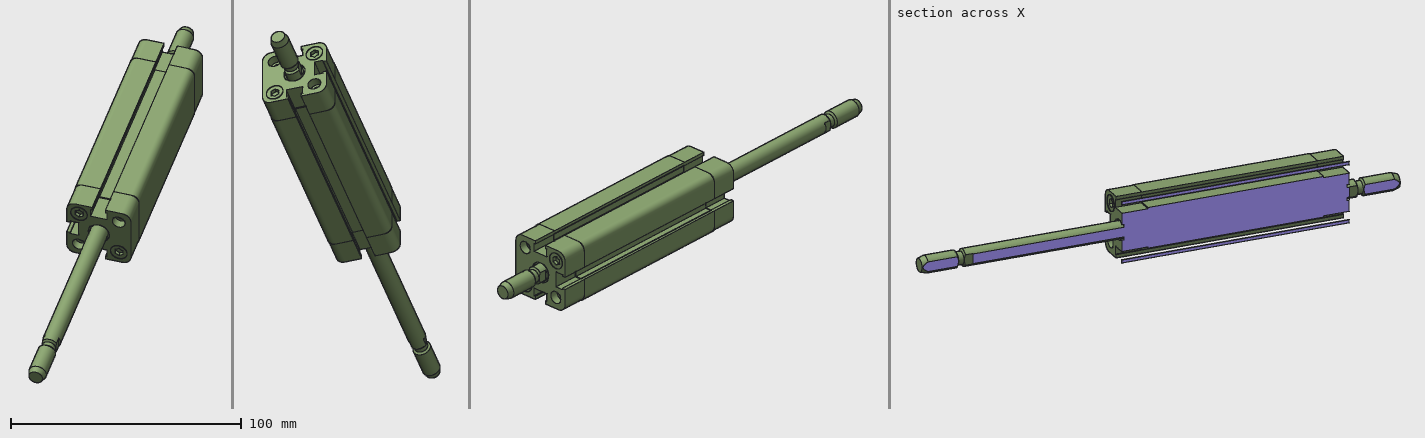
import cadquery as cq


cap_width = 29.05
tube_width = 29.0
body_length = 108.0
cap_length = 12.3
cap_corner_radius = 4.0
tube_corner_radius = 3.3

slot_mouth_width = 6.0
slot_lip_depth = 1.6
cap_slot_width = 7.4
cap_slot_depth = 5.4
tube_slot_width = 6.7
tube_slot_depth = 4.8
slot_angles = (-90, 0, 90)

corner_offset = 9.0
through_hole_diameter = 3.24
counterbore_diameter = 5.8
counterbore_depth = 4.0
screw_head_diameter = 7.5
screw_head_recess = 0.3
screw_socket_corner_diameter = 4.13
screw_socket_depth = 2.0
corner_up_turn = 30

part_length = 227.0
rod_diameter = 8.0
rear_extension = 24.2
front_extension = part_length - body_length - rear_extension
bearing_recess_diameter = 9.6
bearing_recess_depth = 1.0

tip_diameter = 6.2
tip_cone_length = 2.8
thread_end = 17.5
thread_runout = 0.7
neck_diameter = 6.0
neck_end = 20.0
neck_edge_chamfer = 0.6
flats_length = 3.5
flats_width = 6.3


def prism(width, corner_radius, y_start, length):
    """Square bar along Y with rounded corners."""
    bar = cq.Workplane("XY").box(width, length, width).edges("|Y").fillet(corner_radius)
    return bar.translate((0, y_start + length / 2, 0))


def cylinder(diameter, x, z, y_start, length):
    """Round bar along Y."""
    axis_start = cq.Vector(x, y_start, z)
    return cq.Workplane(cq.Solid.makeCylinder(diameter / 2, length, axis_start, cq.Vector(0, 1, 0)))


def slot(mouth_face, width, depth, y_start, length):
    """Slot entering at X = mouth_face: a mouth of fixed width, then the given width behind the lip."""
    y_middle = y_start + length / 2
    mouth = cq.Workplane("XY").box(depth, length, slot_mouth_width)
    inner_depth = depth - slot_lip_depth
    inner = cq.Workplane("XY").box(inner_depth, length, width)
    mouth = mouth.translate((mouth_face + depth / 2, y_middle, 0))
    return mouth.union(inner.translate((mouth_face + slot_lip_depth + inner_depth / 2, y_middle, 0)))


def slotted_section(width, corner_radius, slot_width, slot_depth, y_start, length):
    """Length of the body with a slot in each of three sides."""
    section = prism(width, corner_radius, y_start, length)
    cutter = slot(-width / 2, slot_width, slot_depth, y_start, length)
    for angle in slot_angles:
        section = section.cut(cutter.rotate((0, 0, 0), (0, 1, 0), angle))
    return section


def end_recess(diameter, x, z, depth):
    """Matching round recesses in both end faces."""
    front = cylinder(diameter, x, z, 0, depth)
    return front.union(cylinder(diameter, x, z, body_length - depth, depth))


def hex_sockets(x, z):
    """Matching hexagon sockets in both end faces, with a corner pointing up."""
    hexagon = cq.Workplane("XZ").polygon(6, screw_socket_corner_diameter).extrude(-screw_socket_depth)
    hexagon = hexagon.rotate((0, 0, 0), (0, 1, 0), corner_up_turn)
    front = hexagon.translate((x, 0, z))
    return front.union(hexagon.translate((x, body_length - screw_socket_depth, z)))


def make_body():
    tube_length = body_length - 2 * cap_length
    tube_shape = (tube_width, tube_corner_radius, tube_slot_width, tube_slot_depth)
    cap_shape = (cap_width, cap_corner_radius, cap_slot_width, cap_slot_depth)
    body = slotted_section(*tube_shape, cap_length, tube_length)
    for y_start in (0, body_length - cap_length):
        body = body.union(slotted_section(*cap_shape, y_start, cap_length))
    for side in (-1, 1):
        offset = side * corner_offset
        body = body.cut(cylinder(through_hole_diameter, offset, offset, 0, body_length))
        body = body.cut(end_recess(counterbore_diameter, offset, offset, counterbore_depth))
        body = body.cut(end_recess(screw_head_diameter, offset, -offset, screw_head_recess))
        body = body.cut(hex_sockets(offset, -offset))
    return body.cut(end_recess(bearing_recess_diameter, 0, 0, bearing_recess_depth))


def make_rod():
    front_tip = -front_extension
    rear_tip = body_length + rear_extension
    rod_radius = rod_diameter / 2
    neck_radius = neck_diameter / 2
    end_profile = [
        (tip_diameter / 2, 0),
        (rod_radius, tip_cone_length),
        (rod_radius, thread_end - thread_runout),
        (neck_radius, thread_end),
        (neck_radius, neck_end),
        (rod_radius, neck_end + neck_edge_chamfer),
    ]
    front_points = [(radius, front_tip + distance) for radius, distance in end_profile]
    rear_points = [(radius, rear_tip - distance) for radius, distance in reversed(end_profile)]
    outline = [(0, front_tip)] + front_points + rear_points + [(0, rear_tip)]
    rod = cq.Workplane("XY").polyline(outline).close().revolve(360, (0, 0, 0), (0, 1, 0))

    cutter_length = flats_length + neck_edge_chamfer
    cutter_middle = neck_end + cutter_length / 2
    for y_middle in (front_tip + cutter_middle, rear_tip - cutter_middle):
        for side in (-1, 1):
            x_middle = side * (flats_width + rod_diameter) / 2
            flat = cq.Workplane("XY").box(rod_diameter, cutter_length, rod_diameter)
            rod = rod.cut(flat.translate((x_middle, y_middle, 0)))
    return rod


result = make_body().union(make_rod())